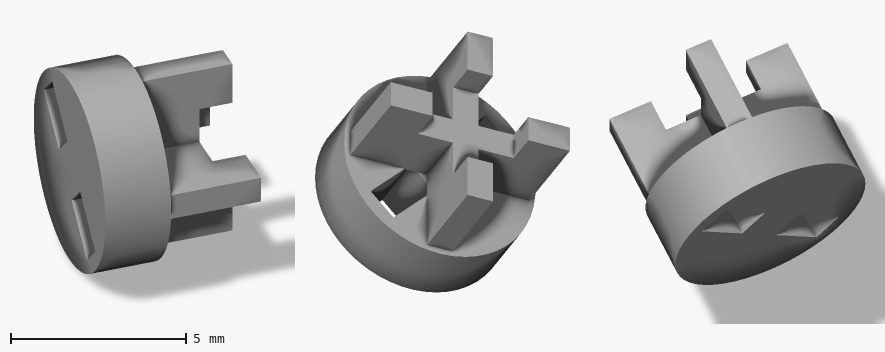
import cadquery as cq

disc_diameter = 6.0
disc_thickness = 2.0
total_depth = 4.8

rib_span = 5.615
rib_width = 0.8
notch_width = 3.0
notch_depth = 1.0

slot_length = 1.8
slot_width = 1.0
slot_offset = 1.655
slot_angle = 45.0

front_y = -total_depth / 2
disc_back_y = front_y + disc_thickness
back_y = front_y + total_depth


def block(size_x, size_z, start_y, end_y):
    """Box centred on the Y axis between two Y positions."""
    depth = end_y - start_y
    return cq.Workplane("XY").box(size_x, depth, size_z).translate((0, start_y + depth / 2, 0))


def make_disc():
    disc = cq.Workplane("XZ").circle(disc_diameter / 2).extrude(-disc_thickness)
    return disc.translate((0, front_y, 0))


def make_cross():
    """Crossed ribs, lowered in the middle to leave four legs."""
    rib_x = block(rib_span, rib_width, disc_back_y, back_y)
    rib_z = block(rib_width, rib_span, disc_back_y, back_y)
    notch = block(notch_width, notch_width, back_y - notch_depth, back_y)
    return rib_x.union(rib_z).cut(notch)


def make_slot(side):
    slot = block(slot_length, slot_width, front_y, disc_back_y)
    slot = slot.translate((side * slot_offset, 0, 0))
    return slot.rotate((0, 0, 0), (0, 1, 0), slot_angle)


disc = make_disc()
for side in (-1, 1):
    disc = disc.cut(make_slot(side))

result = disc.union(make_cross())